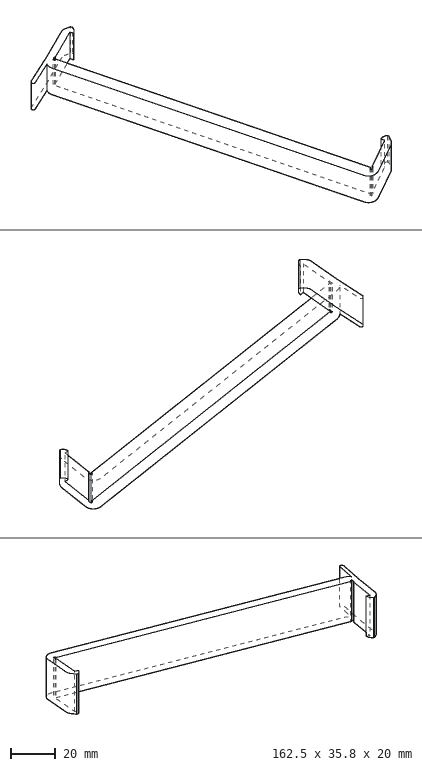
import cadquery as cq
import math

height = 20.0
half_width = 80.71
bar_thickness = 5.3
corner_radius = 4.9

arm_lean = math.radians(1.9)
arm_thickness = 3.6
arm_straight_top = 20.1

hook_top = 24.6
hook_shoulder_radius = 4.1
hook_slope = math.radians(45.0)
hook_slope_top = 24.5
hook_nose = 74.7
hook_underside = 21.6
hook_crest = 76.65
hook_front_mid = (75.35, 23.5)

notch_width = 0.8
notch_bottom = 4.5
notch_top = 6.2

lever_lean = math.radians(4.0)
lever_thickness = 2.0
overall_depth = 35.79
lever_bottom = hook_top - overall_depth


def outer_face(y):
    """Distance from the centre to the leaning outer face of an arm at height y."""
    return half_width - (y - corner_radius) * math.tan(arm_lean)


def inner_face(y):
    """Distance from the centre to the leaning inner face of an arm at height y."""
    return outer_face(y) - arm_thickness / math.cos(arm_lean)


def make_half_clip():
    """+X half of the clip: half the bar, one rounded corner, one hooked arm."""
    corner_center_x = half_width - corner_radius
    diagonal = corner_radius * math.sqrt(0.5)
    corner_mid = (corner_center_x + diagonal, corner_radius - diagonal)

    shoulder_x = outer_face(arm_straight_top) - hook_shoulder_radius * math.cos(arm_lean)
    shoulder_y = arm_straight_top - hook_shoulder_radius * math.sin(arm_lean)

    def on_shoulder(angle):
        return (
            shoulder_x + hook_shoulder_radius * math.cos(angle),
            shoulder_y + hook_shoulder_radius * math.sin(angle),
        )

    shoulder_end = on_shoulder(hook_slope)
    slope_run = (hook_slope_top - shoulder_end[1]) * math.tan(hook_slope)
    slope_end = (shoulder_end[0] - slope_run, hook_slope_top)

    notch_outer = inner_face(bar_thickness) + notch_width / 2
    notch_inner = notch_outer - notch_width

    return (
        cq.Workplane("XY")
        .moveTo(0, 0)
        .lineTo(corner_center_x, 0)
        .threePointArc(corner_mid, (half_width, corner_radius))
        .lineTo(outer_face(arm_straight_top), arm_straight_top)
        .threePointArc(on_shoulder((arm_lean + hook_slope) / 2), shoulder_end)
        .lineTo(*slope_end)
        .lineTo(hook_crest, hook_top)
        .threePointArc(hook_front_mid, (hook_nose, hook_underside))
        .lineTo(inner_face(hook_underside), hook_underside)
        .lineTo(inner_face(notch_top), notch_top)
        .lineTo(notch_outer, notch_top)
        .lineTo(notch_outer, notch_bottom)
        .lineTo(notch_inner, notch_bottom)
        .lineTo(notch_inner, bar_thickness)
        .lineTo(0, bar_thickness)
        .close()
        .extrude(height)
    )


def lever_face(y):
    """X position of the lever's outer face at height y."""
    return -half_width + (y - corner_radius) * math.tan(lever_lean)


def make_lever():
    """Thin release lever hanging from the -X arm, with a fully rounded tip."""
    tip_radius = lever_thickness / 2
    tip_center_y = lever_bottom + tip_radius
    across = (lever_thickness * math.cos(lever_lean), -lever_thickness * math.sin(lever_lean))

    tip_outer_y = tip_center_y - across[1] / 2
    tip_outer = (lever_face(tip_outer_y), tip_outer_y)
    tip_inner = (tip_outer[0] + across[0], tip_outer[1] + across[1])
    tip_center_x = tip_outer[0] + across[0] / 2
    tip_end = (
        tip_center_x - tip_radius * math.sin(lever_lean),
        tip_center_y - tip_radius * math.cos(lever_lean),
    )

    root_outer_x = lever_face(corner_radius)
    root_inner_x = root_outer_x + lever_thickness / math.cos(lever_lean)
    return (
        cq.Workplane("XY")
        .moveTo(root_outer_x, corner_radius)
        .lineTo(*tip_outer)
        .threePointArc(tip_end, tip_inner)
        .lineTo(root_inner_x, corner_radius)
        .close()
        .extrude(height)
    )


half_clip = make_half_clip()
clip = half_clip.union(half_clip.mirror("YZ"))
result = clip.union(make_lever())